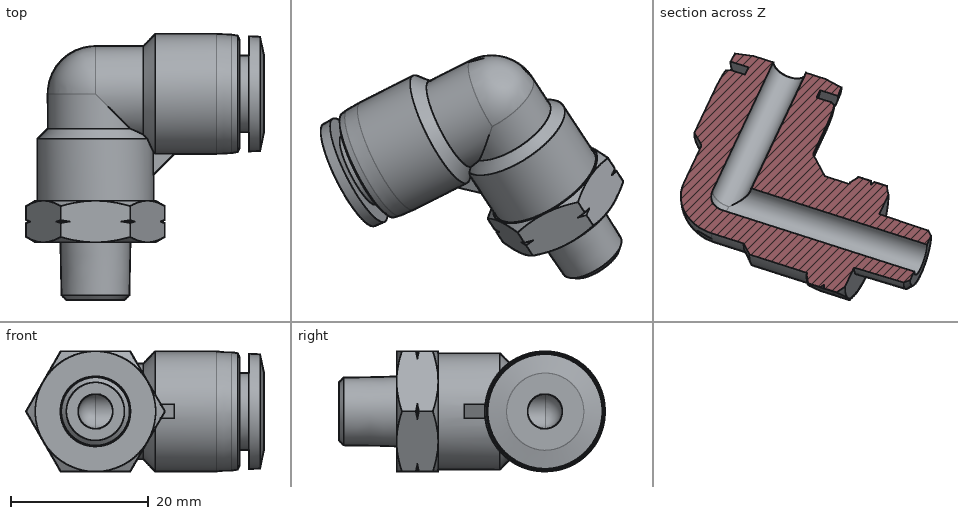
import cadquery as cq
import math

elbow_radius = 6.98
socket_radius = 8.75

sleeve_radius = 8.5
sleeve_cone_top = -5.05
sleeve_cone_bottom = -6.55

hex_across_flats = 2 * socket_radius
hex_across_corners = hex_across_flats / math.cos(math.radians(30))
hex_top = -15.55
hex_bottom = -21.6
hex_chamfer_angle = 30
corner_notch_depth = 0.6
corner_notch_width = 0.45

stub_end = -30.0
stub_root_radius = 5.1
stub_tip_radius = 4.95
stub_chamfer = 0.75

socket_cone_start = 6.98
socket_cone_end = 8.68
socket_taper_start = 17.55
socket_rim_start = 19.75
socket_end = 21.0
socket_rim_radius = 8.65
socket_edge = 20.7
socket_edge_radius = 8.5
socket_end_radius = 7.83

collar_start = 22.32
collar_edge = 23.95
collar_end = 24.53
collar_radius = 8.4
collar_edge_radius = 8.35
collar_neck_radius = 5.6
collar_face_radius = 5.6

gusset_thickness = 2.05
gusset_reach = 11.47
bore_radius = 2.5


def turned_on_y(profile):
    """Revolve (radius, y) points about the stem axis."""
    return cq.Workplane("XY").polyline(profile).close().revolve(360, (0, 0, 0), (0, 1, 0))


def turned_on_x(profile):
    """Revolve (x, radius) points about the socket axis."""
    return cq.Workplane("XY").polyline(profile).close().revolve(360, (0, 0, 0), (1, 0, 0))


def stem():
    stub_chamfer_start = stub_end + stub_chamfer
    return turned_on_y([
        (0, 0),
        (elbow_radius, 0),
        (elbow_radius, sleeve_cone_top),
        (sleeve_radius, sleeve_cone_bottom),
        (sleeve_radius, hex_top),
        (stub_root_radius, hex_top),
        (stub_root_radius, hex_bottom),
        (stub_tip_radius, stub_chamfer_start),
        (stub_tip_radius - stub_chamfer, stub_end),
        (0, stub_end),
    ])


def socket():
    return turned_on_x([
        (0, 0),
        (0, elbow_radius),
        (socket_cone_start, elbow_radius),
        (socket_cone_end, socket_radius),
        (socket_taper_start, socket_radius),
        (socket_rim_start, socket_rim_radius),
        (socket_edge, socket_edge_radius),
        (socket_end, socket_end_radius),
        (socket_end, collar_neck_radius),
        (collar_start, collar_neck_radius),
        (collar_start, collar_radius),
        (collar_edge, collar_edge_radius),
        (collar_end, collar_face_radius),
        (collar_end, 0),
    ])


def hex_nut():
    height = hex_top - hex_bottom
    middle = (hex_top + hex_bottom) / 2
    face_radius = hex_across_flats / 2
    corner_radius = hex_across_corners / 2
    chamfer_height = (corner_radius - face_radius) * math.tan(math.radians(hex_chamfer_angle))
    prism = (
        cq.Workplane("XZ", origin=(0, hex_top, 0))
        .polygon(6, hex_across_corners)
        .extrude(height)
    )
    envelope = turned_on_y([
        (0, hex_bottom),
        (face_radius, hex_bottom),
        (corner_radius, hex_bottom + chamfer_height),
        (corner_radius, middle - corner_notch_width / 2),
        (corner_radius - corner_notch_depth, middle),
        (corner_radius, middle + corner_notch_width / 2),
        (corner_radius, hex_top - chamfer_height),
        (face_radius, hex_top),
        (0, hex_top),
    ])
    return prism.intersect(envelope)


def gusset():
    drop = gusset_reach - sleeve_radius
    return (
        cq.Workplane("XY")
        .polyline([
            (0, 0),
            (gusset_reach, 0),
            (gusset_reach, -socket_radius),
            (sleeve_radius, -socket_radius - drop),
            (0, -socket_radius - drop),
        ])
        .close()
        .extrude(gusset_thickness / 2, both=True)
    )


def flow_passage():
    stem_bore = cq.Workplane("XZ").circle(bore_radius).extrude(-stub_end)
    socket_bore = cq.Workplane("YZ").circle(bore_radius).extrude(collar_end)
    return stem_bore.union(socket_bore).union(cq.Workplane("XY").sphere(bore_radius))


body = (
    stem()
    .union(socket())
    .union(cq.Workplane("XY").sphere(elbow_radius))
    .union(hex_nut())
    .union(gusset())
)
result = body.cut(flow_passage())